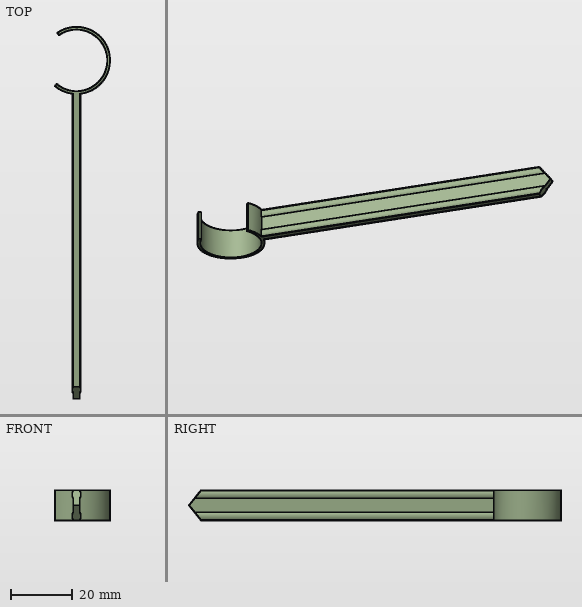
import cadquery as cq
import math

total_length = 121.5
half_height = 10.0 / 2

ring_radius = 22.0 / 2
ring_wall = 1.0
inner_radius = ring_radius - ring_wall
upper_end_angle = 125.0
lower_end_angle = 230.0

web_half_width = 2.2 / 2
bead_half_width = 2.9 / 2
bead_bottom = 2.3
bead_top = 4.7
bead_middle = (bead_bottom + bead_top) / 2
stem_start = ring_radius - ring_wall / 2
tip_distance = total_length - ring_radius
point_length = 4.0


def ring_point(radius, angle):
    """Point on a circle about the origin, with the angle in degrees."""
    turn = math.radians(angle)
    return (radius * math.cos(turn), radius * math.sin(turn))


def make_ring():
    """C-shaped band with radial end faces, open toward -X."""
    return (
        cq.Workplane("XY")
        .workplane(offset=-half_height)
        .moveTo(*ring_point(ring_radius, upper_end_angle))
        .threePointArc((ring_radius, 0), ring_point(ring_radius, lower_end_angle))
        .lineTo(*ring_point(inner_radius, lower_end_angle))
        .threePointArc((inner_radius, 0), ring_point(inner_radius, upper_end_angle))
        .close()
        .extrude(2 * half_height)
    )


def make_bar():
    """Straight web with a rounded bead along each side, near its top and bottom."""
    profile = cq.Workplane("XZ", origin=(0, -stem_start, 0)).moveTo(web_half_width, -half_height)
    for side in (1, -1):
        web = side * web_half_width
        bead = side * bead_half_width
        profile = (
            profile.lineTo(web, -side * bead_top)
            .threePointArc((bead, -side * bead_middle), (web, -side * bead_bottom))
            .lineTo(web, side * bead_bottom)
            .threePointArc((bead, side * bead_middle), (web, side * bead_top))
            .lineTo(web, side * half_height)
            .lineTo(-web, side * half_height)
        )
    return profile.close().extrude(tip_distance - stem_start)


def make_point_envelope():
    """Side outline that bevels the far end of the stem to a central point."""
    shoulder = -tip_distance + point_length
    return (
        cq.Workplane("YZ")
        .moveTo(-stem_start, -half_height)
        .lineTo(shoulder, -half_height)
        .lineTo(-tip_distance, 0)
        .lineTo(shoulder, half_height)
        .lineTo(-stem_start, half_height)
        .close()
        .extrude(bead_half_width * 2, both=True)
    )


stem = make_bar().intersect(make_point_envelope())
result = make_ring().union(stem)